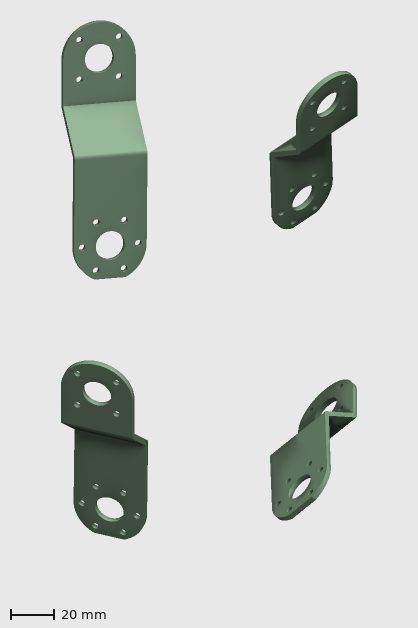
import cadquery as cq
import math

width = 35.0
height = 118.4
depth = 21.4
thickness = 2.6

upper_bend_z = 79.3
slope_angle = math.radians(44)
lean_angle = math.radians(1.8)

end_radius = width / 2
bore_diameter = 14.0
screw_diameter = 3.2
bolt_circle_radius = 13.5
upper_screw_count = 4
lower_screw_count = 6
lower_flat_distance = 15.9

upper_corner = (thickness, upper_bend_z)
lower_corner_x = depth - thickness
web_run = lower_corner_x - thickness + thickness * math.cos(slope_angle)
web_length = web_run / math.sin(slope_angle)
lower_corner_z = (
    upper_bend_z
    - web_length * math.cos(slope_angle)
    - thickness * math.sin(slope_angle)
)
lower_corner = (lower_corner_x, lower_corner_z)

lower_length = (lower_corner_z - thickness * math.sin(lean_angle)) / math.cos(lean_angle)


def offset_point(corner, angle):
    """Point one thickness from a corner, with the angle measured from +X."""
    return (
        corner[0] + thickness * math.cos(angle),
        corner[1] + thickness * math.sin(angle),
    )


def sloped_web():
    """Sloped sheet together with the rounded bend at each end."""
    upper_mid_angle = math.pi + slope_angle / 2
    lower_mid_angle = (slope_angle - lean_angle) / 2
    return (
        cq.Workplane("XZ")
        .moveTo(*upper_corner)
        .lineTo(*offset_point(upper_corner, math.pi))
        .threePointArc(
            offset_point(upper_corner, upper_mid_angle),
            offset_point(upper_corner, math.pi + slope_angle),
        )
        .lineTo(*lower_corner)
        .lineTo(*offset_point(lower_corner, -lean_angle))
        .threePointArc(
            offset_point(lower_corner, lower_mid_angle),
            offset_point(lower_corner, slope_angle),
        )
        .close()
        .extrude(width / 2, both=True)
    )


def hole_cutters(plane, bore_height, screw_count, first_angle):
    """Bore and ring of screw holes through a flange."""
    workplane = cq.Workplane(plane).center(0, bore_height)
    bore = workplane.circle(bore_diameter / 2).extrude(thickness)
    screws = (
        workplane.polarArray(bolt_circle_radius, first_angle, 360, screw_count)
        .circle(screw_diameter / 2)
        .extrude(thickness)
    )
    return bore.union(screws)


def upper_flange():
    """Vertical flange with a full round top."""
    plane = cq.Plane.YZ()
    bore_height = height - end_radius
    plate = (
        cq.Workplane(plane)
        .moveTo(-end_radius, upper_bend_z)
        .lineTo(end_radius, upper_bend_z)
        .lineTo(end_radius, bore_height)
        .threePointArc((0, height), (-end_radius, bore_height))
        .close()
        .extrude(thickness)
    )
    first_angle = 180 / upper_screw_count
    return plate.cut(hole_cutters(plane, bore_height, upper_screw_count, first_angle))


def lower_flange():
    """Leaning flange whose round end is trimmed flat."""
    plane = cq.Plane(
        origin=(lower_corner_x, 0, lower_corner_z),
        xDir=(0, 1, 0),
        normal=(math.cos(lean_angle), 0, -math.sin(lean_angle)),
    )
    bore_height = lower_flat_distance - lower_length
    flat_half_width = math.sqrt(end_radius**2 - lower_flat_distance**2)
    arc_offset = end_radius * math.sqrt(0.5)
    plate = (
        cq.Workplane(plane)
        .moveTo(-end_radius, 0)
        .lineTo(-end_radius, bore_height)
        .threePointArc((-arc_offset, bore_height - arc_offset), (-flat_half_width, -lower_length))
        .lineTo(flat_half_width, -lower_length)
        .threePointArc((arc_offset, bore_height - arc_offset), (end_radius, bore_height))
        .lineTo(end_radius, 0)
        .close()
        .extrude(thickness)
    )
    return plate.cut(hole_cutters(plane, bore_height, lower_screw_count, 0))


result = sloped_web().union(upper_flange()).union(lower_flange())